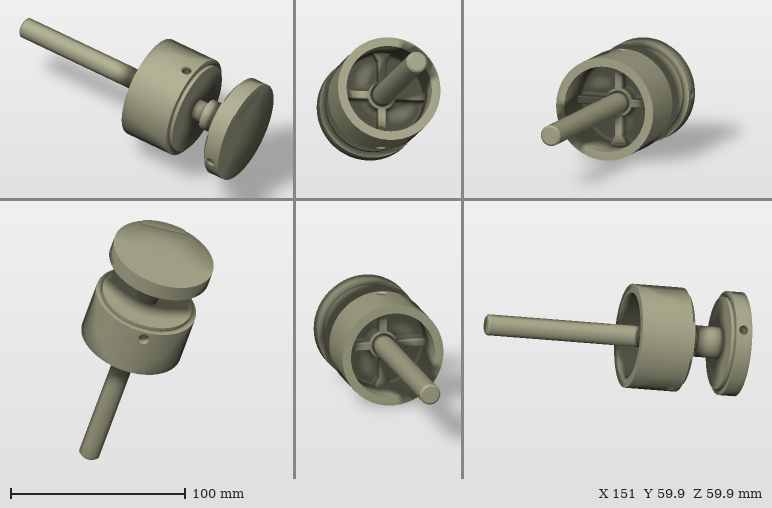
import cadquery as cq
import math

total_length = 151.0
outer_radius = 29.97

rod_radius = 6.0
rod_chamfer = 1.0

cup_start = 85.2
cup_length = 30.0
cup_end = cup_start + cup_length
cavity_radius = 24.9
cavity_depth = 27.6
cavity_floor = cup_start + cavity_depth

rib_height = 6.5
rib_top = cavity_floor - rib_height
rib_half_width = 2.3
flare_angle = math.radians(33)
flare_start = 20.0
hub_radius = 8.3
floor_fillet = 1.8
rib_edge_fillet = 0.8
hub_countersink = 1.0

gasket_radius = 26.7
gasket_thickness = 2.3

spigot_start = 124.5
spigot_radius = 9.0
pad_height = 0.5
cap_end = total_length - pad_height
cap_thickness = 9.4
cap_start = cap_end - cap_thickness
pad_half_width = 12.5
pad_bottom = 23.4

hole_radius = 2.7
hole_depth = 3.8
drill_point_half_angle = math.radians(59)
set_screw_x = cup_start + 25.2
set_screw_countersink = 0.8
spanner_hole_x = cap_start + 4.2


def disk(start, end, radius):
    """Cylinder along X between two stations."""
    return cq.Workplane("YZ", origin=(start, 0, 0)).circle(radius).extrude(end - start)


def straight_rib():
    """Rib along Y; it overruns the cavity and is trimmed by it."""
    outline = cq.Workplane("YZ", origin=(rib_top, 0, 0)).rect(2 * outer_radius, 2 * rib_half_width)
    return outline.extrude(rib_height)


def flared_rib():
    """Rib along Z that widens towards both ends to back the set-screw holes."""
    end_half_width = rib_half_width + (outer_radius - flare_start) * math.tan(flare_angle)
    side = [
        (end_half_width, outer_radius),
        (rib_half_width, flare_start),
        (rib_half_width, -flare_start),
        (end_half_width, -outer_radius),
    ]
    opposite_side = [(-y, z) for y, z in reversed(side)]
    outline = cq.Workplane("YZ", origin=(rib_top, 0, 0)).polyline(side + opposite_side).close()
    return outline.extrude(rib_height)


def edges_in_plane(x):
    """Selector for the edges centred in the plane at station x."""
    tolerance = 0.2
    return cq.selectors.BoxSelector(
        (x - tolerance, -outer_radius, -outer_radius),
        (x + tolerance, outer_radius, outer_radius),
    )


def make_cup():
    cross = straight_rib().union(flared_rib()).union(disk(rib_top, cavity_floor, hub_radius))
    cavity = disk(cup_start, cavity_floor, cavity_radius).cut(cross)
    cup = disk(cup_start, cup_end, outer_radius).cut(cavity)
    cup = cup.edges(edges_in_plane(cavity_floor)).fillet(floor_fillet)
    return cup.edges(edges_in_plane(rib_top)).fillet(rib_edge_fillet)


def make_rod():
    return disk(0, spigot_start, rod_radius).faces("<X").chamfer(rod_chamfer)


def make_hub_countersink():
    """Cone around the rod where it enters the hub."""
    return (
        cq.Workplane("XY")
        .moveTo(rib_top, 0)
        .lineTo(rib_top, rod_radius + hub_countersink)
        .lineTo(rib_top + rod_radius + hub_countersink, 0)
        .close()
        .revolve(360, (0, 0, 0), (1, 0, 0))
    )


def make_cap():
    plate = disk(cap_start, cap_end, outer_radius)
    spigot = disk(spigot_start, cap_start, spigot_radius)
    pad_blank = cq.Workplane("XY", origin=(cap_end, 0, pad_bottom)).box(
        pad_height, 2 * pad_half_width, outer_radius - pad_bottom, centered=(False, True, False)
    )
    pad = pad_blank.intersect(disk(cap_end, total_length, outer_radius))
    return plate.union(spigot).union(pad)


def drilled_hole(x):
    """Blind hole drilled down from the +Z side at station x."""
    bottom = outer_radius - hole_depth
    tip = bottom - hole_radius / math.tan(drill_point_half_angle)
    return (
        cq.Workplane("XZ")
        .moveTo(0, tip)
        .lineTo(hole_radius, bottom)
        .lineTo(hole_radius, outer_radius)
        .lineTo(0, outer_radius)
        .close()
        .revolve(360, (0, 0, 0), (0, 1, 0))
        .translate((x, 0, 0))
    )


def countersink(x):
    """Cone at the +Z mouth of a hole at station x."""
    mouth_radius = hole_radius + set_screw_countersink
    return (
        cq.Workplane("XZ")
        .moveTo(0, outer_radius)
        .lineTo(mouth_radius, outer_radius)
        .lineTo(0, outer_radius - mouth_radius)
        .close()
        .revolve(360, (0, 0, 0), (0, 1, 0))
        .translate((x, 0, 0))
    )


def turned(tool, angle):
    """Tool turned about the X axis; 90 degrees takes +Z to -Y."""
    return tool.rotate((0, 0, 0), (1, 0, 0), angle)


cup = make_cup().cut(make_hub_countersink())
gaskets = disk(cup_end, cup_end + gasket_thickness, gasket_radius).union(
    disk(cap_start - gasket_thickness, cap_start, gasket_radius)
)
result = cup.union(make_rod()).union(gaskets).union(make_cap())
set_screw_hole = drilled_hole(set_screw_x).union(countersink(set_screw_x))
for angle in (0, 180):
    result = result.cut(turned(set_screw_hole, angle))
result = result.cut(turned(drilled_hole(spanner_hole_x), 90))